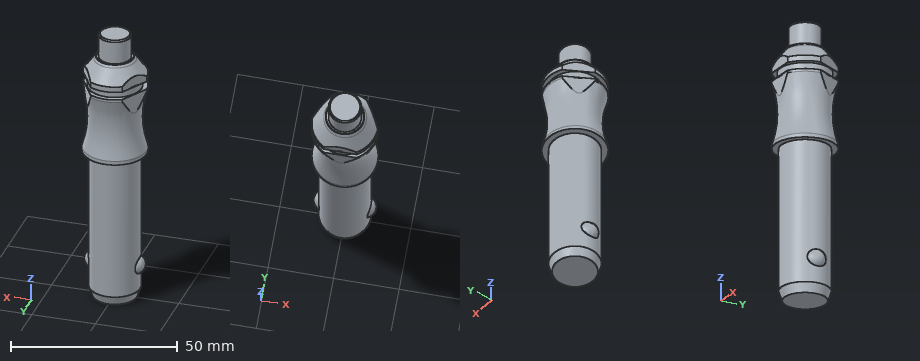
import cadquery as cq
import math

TOTAL_HEIGHT = 88.5
TIP_HEIGHT = 3.1
BALL_HEIGHT = 11.2
HANDLE_BOTTOM = 49.0
LOWER_RIM_HEIGHT = 1.3
UPPER_RIM_HEIGHT = 0.8
GROOVE_BOTTOM = 71.15
GROOVE_TOP = 73.7
CAP_RIM_HEIGHT = 1.8
CAP_TOP = 81.0
CAP_EDGE_HEIGHT = 0.8
CAP_RECESS_DEPTH = 0.3

TIP_RADIUS = 6.9
SHAFT_RADIUS = 8.0
HANDLE_RADIUS = 10.0
WAIST_RADIUS = 8.3
GROOVE_RADIUS = 8.4
CAP_SHOULDER_RADIUS = 6.5
CAP_TOP_RADIUS = 5.8
CAP_RECESS_RADIUS = 5.7
BUTTON_RADIUS = 5.0
BUTTON_CHAMFER = 0.4

BALL_REACH = 9.6
BALL_RADIUS = 3.4
BALL_HALF_HEIGHT = 3.2

FLAT_COUNT = 3
FLAT_DISTANCE = HANDLE_RADIUS * math.cos(math.radians(30))
FIRST_FLAT_ANGLE = -90


def turned_body():
    """Revolve the shaft, waisted handle, cap and push button about Z."""
    arc_bottom = HANDLE_BOTTOM + LOWER_RIM_HEIGHT
    arc_top = GROOVE_BOTTOM - UPPER_RIM_HEIGHT
    return (
        cq.Workplane("XZ")
        .lineTo(TIP_RADIUS, 0)
        .lineTo(SHAFT_RADIUS, TIP_HEIGHT)
        .lineTo(SHAFT_RADIUS, HANDLE_BOTTOM)
        .lineTo(HANDLE_RADIUS, HANDLE_BOTTOM)
        .lineTo(HANDLE_RADIUS, arc_bottom)
        .threePointArc((WAIST_RADIUS, (arc_bottom + arc_top) / 2), (HANDLE_RADIUS, arc_top))
        .lineTo(HANDLE_RADIUS, GROOVE_BOTTOM)
        .lineTo(GROOVE_RADIUS, GROOVE_BOTTOM)
        .lineTo(GROOVE_RADIUS, GROOVE_TOP)
        .lineTo(HANDLE_RADIUS, GROOVE_TOP)
        .lineTo(HANDLE_RADIUS, GROOVE_TOP + CAP_RIM_HEIGHT)
        .lineTo(CAP_SHOULDER_RADIUS, CAP_TOP - CAP_EDGE_HEIGHT)
        .lineTo(CAP_TOP_RADIUS, CAP_TOP)
        .lineTo(CAP_RECESS_RADIUS, CAP_TOP)
        .lineTo(CAP_RECESS_RADIUS, CAP_TOP - CAP_RECESS_DEPTH)
        .lineTo(BUTTON_RADIUS, CAP_TOP - CAP_RECESS_DEPTH)
        .lineTo(BUTTON_RADIUS, TOTAL_HEIGHT - BUTTON_CHAMFER)
        .lineTo(BUTTON_RADIUS - BUTTON_CHAMFER, TOTAL_HEIGHT)
        .lineTo(0, TOTAL_HEIGHT)
        .close()
        .revolve(360, (0, 0), (0, 1))
    )


def flat_cutter(angle):
    """Block outside one grip flat, spanning the cap and the upper half of the handle."""
    bottom = (HANDLE_BOTTOM + GROOVE_BOTTOM) / 2
    return (
        cq.Workplane("XY", origin=(0, 0, bottom))
        .center(FLAT_DISTANCE + HANDLE_RADIUS / 2, 0)
        .rect(HANDLE_RADIUS, 2 * HANDLE_RADIUS)
        .extrude(CAP_TOP - bottom)
        .rotate((0, 0, 0), (0, 0, 1), angle)
    )


def locking_ball(side):
    """Ellipsoid protruding from the shaft towards +X (side = 1) or -X (side = -1)."""
    return (
        cq.Workplane("XZ")
        .moveTo(0, -BALL_HALF_HEIGHT)
        .ellipseArc(BALL_RADIUS, BALL_HALF_HEIGHT, -90, 90, startAtCurrent=True)
        .close()
        .revolve(360, (0, 0), (0, 1))
        .translate((side * (BALL_REACH - BALL_RADIUS), 0, BALL_HEIGHT))
    )


result = turned_body()
for index in range(FLAT_COUNT):
    result = result.cut(flat_cutter(FIRST_FLAT_ANGLE + index * 360 / FLAT_COUNT))
for side in (-1, 1):
    result = result.union(locking_ball(side))